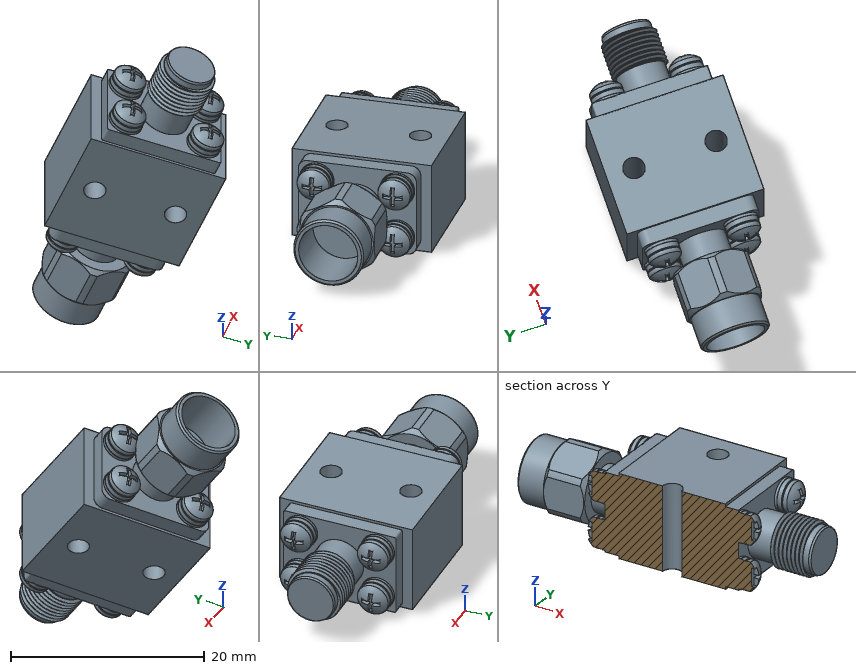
import cadquery as cq
import math


body_length = 13.0
body_width = 15.0
body_height = 10.0
mount_hole_diameter = 2.3
mount_hole_spacing = 9.0

flange_width = 12.7
flange_height = 9.38
male_flange_thickness = 1.7
male_flange_corner = 1.0
female_flange_thickness = 1.6
female_flange_corner = 0.25

barrel_radius = 2.68
overlap = 0.2

nut_back_x = -4.5
nut_length = 5.05
nut_across_flats = 8.0
nut_corner_radius = 4.41
nut_face_radius = 3.93
nut_bevel_length = 0.5
sleeve_length = 3.3
sleeve_radius = 3.76
sleeve_bevel = 0.2
sleeve_bore_radius = 3.18
sleeve_bore_depth = 5.5

female_end_x = 22.25
female_end_bevel_length = 0.25
female_end_bevel_depth = 0.1
thread_core_radius = 2.72
thread_core_start_x = 17.45
thread_core_end_x = 21.3
thread_crest_radius = 3.04
thread_pitch = 0.5
thread_turns = 8.5
thread_start_x = 17.22
thread_base_width = 0.48
thread_root_depth = 0.05

screw_spacing_y = 8.68
screw_spacing_z = 5.4
flat_washer_radius = 1.83
flat_washer_thickness = 0.31
lock_washer_radius = 1.78
lock_washer_thickness = 0.6
head_radius = 1.78
head_rim_height = 0.36
head_rim_bevel_height = 0.19
head_rim_bevel_depth = 0.05
head_dome_height = 0.81
seat_groove_bevel = 0.08
recess_length = 2.1
recess_width = 0.42
recess_depth = 0.65

nut_front_x = nut_back_x - nut_length
sleeve_end_x = nut_front_x - sleeve_length
male_flange_x = -male_flange_thickness
female_flange_x = body_length + female_flange_thickness


def cylinder_x(radius, start_x, end_x):
    return cq.Workplane("YZ").workplane(offset=start_x).circle(radius).extrude(end_x - start_x)


def revolve_x(outline):
    """Revolve a closed (x, radius) outline about the X axis."""
    return cq.Workplane("XY").polyline(outline).close().revolve(360, (0, 0, 0), (1, 0, 0))


def make_body():
    body = cq.Workplane("XY").box(body_length, body_width, body_height)
    body = body.translate((body_length / 2, 0, 0))
    hole_x = body_length / 2
    hole_y = mount_hole_spacing / 2
    holes = (
        cq.Workplane("XY")
        .workplane(offset=-body_height / 2)
        .pushPoints([(hole_x, -hole_y), (hole_x, hole_y)])
        .circle(mount_hole_diameter / 2)
        .extrude(body_height)
    )
    return body.cut(holes)


def make_flange(start_x, thickness, corner_radius):
    flange = cq.Workplane("YZ").rect(flange_width, flange_height).extrude(thickness)
    return flange.edges("|X").fillet(corner_radius).translate((start_x, 0, 0))


def make_nut():
    corner_diameter = nut_across_flats / math.cos(math.pi / 6)
    hexagon = (
        cq.Workplane("YZ")
        .workplane(offset=nut_front_x)
        .transformed(rotate=(0, 0, 90))
        .polygon(6, corner_diameter)
        .extrude(nut_length)
    )
    bevelled_round = revolve_x([
        (nut_front_x, 0),
        (nut_front_x, nut_face_radius),
        (nut_front_x + nut_bevel_length, nut_corner_radius),
        (nut_back_x - nut_bevel_length, nut_corner_radius),
        (nut_back_x, nut_face_radius),
        (nut_back_x, 0),
    ])
    return hexagon.intersect(bevelled_round)


def make_male_connector():
    sleeve = cylinder_x(sleeve_radius, sleeve_end_x, nut_front_x + overlap)
    sleeve = sleeve.faces("<X").edges().chamfer(sleeve_bevel)
    barrel = cylinder_x(barrel_radius, nut_back_x - overlap, male_flange_x + overlap)
    bore = cylinder_x(sleeve_bore_radius, sleeve_end_x, sleeve_end_x + sleeve_bore_depth)
    return make_nut().union(sleeve).union(barrel).cut(bore)


def make_thread():
    """Right-hand helical ridge, cut off square at both ends of the thread core."""
    root_radius = thread_core_radius - thread_root_depth
    base_half = thread_base_width / 2
    helix = cq.Wire.makeHelix(thread_pitch, thread_pitch * thread_turns, root_radius)
    ridge = (
        cq.Workplane("XZ")
        .polyline([
            (root_radius, -base_half),
            (thread_crest_radius, 0),
            (root_radius, base_half),
        ])
        .close()
        .sweep(cq.Workplane(obj=helix), isFrenet=True)
    )
    ridge = ridge.rotate((0, 0, 0), (0, 1, 0), 90).translate((thread_start_x, 0, 0))
    envelope = cylinder_x(thread_crest_radius + overlap, thread_core_start_x, thread_core_end_x)
    return ridge.intersect(envelope)


def make_female_connector():
    shaft = revolve_x([
        (female_flange_x - overlap, 0),
        (female_flange_x - overlap, barrel_radius),
        (thread_core_start_x, barrel_radius),
        (thread_core_start_x, thread_core_radius),
        (thread_core_end_x, thread_core_radius),
        (thread_core_end_x, barrel_radius),
        (female_end_x - female_end_bevel_length, barrel_radius),
        (female_end_x, barrel_radius - female_end_bevel_depth),
        (female_end_x, 0),
    ])
    return shaft.union(make_thread())


def make_screw():
    """One screw on the X axis, seated at X = 0 with its head toward -X."""
    lock_washer_x = -flat_washer_thickness
    head_x = lock_washer_x - lock_washer_thickness
    rim_x = head_x - head_rim_height
    dome_x = rim_x - head_rim_bevel_height
    tip_x = dome_x - head_dome_height
    dome_base_radius = head_radius - head_rim_bevel_depth
    dome_radius = (dome_base_radius**2 + head_dome_height**2) / (2 * head_dome_height)
    half_angle = math.asin(dome_base_radius / dome_radius) / 2
    dome_middle = (
        tip_x + dome_radius * (1 - math.cos(half_angle)),
        dome_radius * math.sin(half_angle),
    )
    screw = (
        cq.Workplane("XY")
        .moveTo(overlap, 0)
        .lineTo(overlap, flat_washer_radius)
        .lineTo(lock_washer_x, flat_washer_radius)
        .lineTo(lock_washer_x, lock_washer_radius)
        .lineTo(head_x + seat_groove_bevel, lock_washer_radius)
        .lineTo(head_x, lock_washer_radius - seat_groove_bevel)
        .lineTo(head_x - seat_groove_bevel, head_radius)
        .lineTo(rim_x, head_radius)
        .lineTo(dome_x, dome_base_radius)
        .threePointArc(dome_middle, (tip_x, 0))
        .close()
        .revolve(360, (0, 0, 0), (1, 0, 0))
    )
    recess = cq.Workplane("YZ", origin=(tip_x, 0, 0)).rect(recess_length, recess_width).extrude(recess_depth)
    cross_recess = recess.union(recess.rotate((0, 0, 0), (1, 0, 0), 90))
    return screw.cut(cross_recess)


def add_screws(part):
    male_screw = make_screw()
    female_screw = male_screw.mirror("YZ")
    for side_y in (-1, 1):
        for side_z in (-1, 1):
            y = side_y * screw_spacing_y / 2
            z = side_z * screw_spacing_z / 2
            part = part.union(male_screw.translate((male_flange_x, y, z)))
            part = part.union(female_screw.translate((female_flange_x, y, z)))
    return part


result = make_body()
result = result.union(make_flange(male_flange_x, male_flange_thickness, male_flange_corner))
result = result.union(make_flange(body_length, female_flange_thickness, female_flange_corner))
result = result.union(make_male_connector())
result = result.union(make_female_connector())
result = add_screws(result)